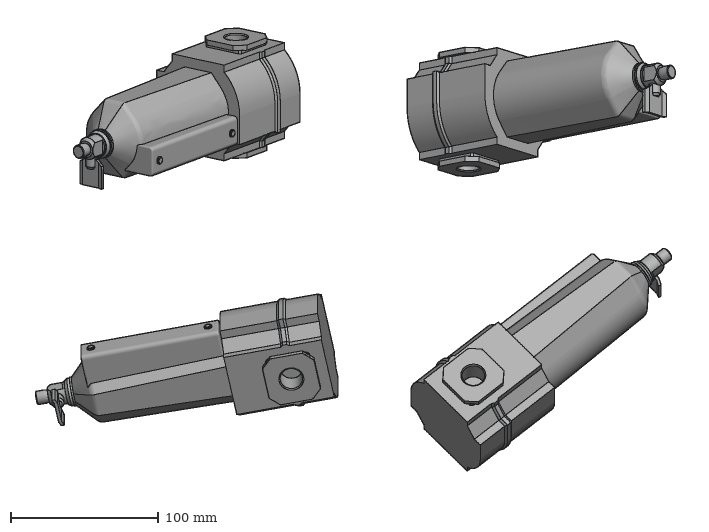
import cadquery as cq
import math


tolerance = 0.002

head_length = 67.6
head_half_height = 34.0
flank_half_width = 22.2
flank_z = 28.9
shoulder_half_width = 35.5
shoulder_x = 29.5
shoulder_z = 20.0

port_y = 42.4
band_height = 1.2
band_width = 6.0
band_crest_width = 3.0

port_top_z = 40.0
flange_thickness = 3.6
flange_width = 35.7
flange_corner = 6.7
neck_width = 30.3
neck_corner = 1.51
port_hole_diameter = 15.3
port_mouth_chamfer = 0.8
port_depth = 16.2

bowl_half_height = 26.7
bowl_root_radius = 26.0
bowl_end_radius = 24.0
bowl_root_flat = 11.3
bowl_end_flat = 8.0
cone_start = 94.3
cone_end = 108.0
cone_tip_radius = 10.0
bowl_edge_radius = 5.0
bowl_length = 109.5

gauge_start = 1.0
gauge_end = 96.7
gauge_inner_x = 8.0
gauge_outer_x = 35.0
gauge_top_z = 0.2
gauge_height = 20.5
gauge_side_radius = 2.8
gauge_end_radius = 1.2
screw_inset = 7.3
screw_radius = 2.6
screw_height = 1.5
screw_chamfer = 0.6

overall_length = 202.0
drain_tip = overall_length - head_length
seat_root_radius = 8.9
seat_radius = 9.7
seat_crest = 111.2
seat_end_radius = 8.3
seat_end = 113.5
stem_radius = 7.7
stem_end = 125.8
stem_chamfer_length = 2.5
stem_chamfer_height = 2.0
stem_flat_start = 114.9
stem_flat_half_width = 5.9
nozzle_radius = 4.6
nozzle_waist_radius = 4.2
nozzle_waist_end = 128.2
nozzle_chamfer = 0.6

handle_position = 119.3
plug_radius = 4.0
plug_bottom_z = -15.0
plug_chamfer_length = 1.8
plug_chamfer_width = 1.2
wing_half_width = 10.0
wing_fold_x = 6.9
wing_thickness = 2.2
wing_offset = 1.2
wing_bottom_z = -27.7
wing_tip_z = -11.7
wing_root_z = -7.7


def section_plane(distance):
    """XZ plane at the given distance in front of the head, normal toward -Y."""
    return cq.Workplane("XZ", origin=(0, -distance, 0))


def head_outline(plane):
    """Head section: a shoulder and a tangent arc on each side, alike after a half turn."""
    chord_x = shoulder_half_width - flank_half_width
    arc_radius = (chord_x**2 + flank_z**2) / (2 * chord_x)
    mid_angle = math.asin(flank_z / arc_radius) / 2
    arc_mid_x = shoulder_half_width - arc_radius * (1 - math.cos(mid_angle))
    arc_mid_z = arc_radius * math.sin(mid_angle)
    return (
        plane.moveTo(-flank_half_width, head_half_height)
        .lineTo(-flank_half_width, flank_z)
        .lineTo(-shoulder_x, shoulder_z)
        .lineTo(-shoulder_half_width, shoulder_z)
        .lineTo(-shoulder_half_width, 0)
        .threePointArc((-arc_mid_x, -arc_mid_z), (-flank_half_width, -flank_z))
        .lineTo(-flank_half_width, -head_half_height)
        .lineTo(flank_half_width, -head_half_height)
        .lineTo(flank_half_width, -flank_z)
        .lineTo(shoulder_x, -shoulder_z)
        .lineTo(shoulder_half_width, -shoulder_z)
        .lineTo(shoulder_half_width, 0)
        .threePointArc((arc_mid_x, arc_mid_z), (flank_half_width, flank_z))
        .lineTo(flank_half_width, head_half_height)
        .close()
    )


def make_band():
    """Raised band with sloping sides that follows the head outline between the flats."""
    slope_length = (band_width - band_crest_width) / 2
    band_front = -port_y - band_width / 2
    band = (
        head_outline(section_plane(band_front))
        .offset2D(band_height, "intersection")
        .extrude(band_width)
    )
    band = band.faces("<Y or >Y").chamfer(slope_length, band_height)
    height_limit = cq.Workplane("XY", origin=(0, port_y, 0)).box(
        4 * shoulder_half_width, 2 * band_width, 2 * head_half_height
    )
    return band.intersect(height_limit)


def cut_corner_square(width, corner, bottom_z, top_z):
    """Square block with its vertical corners cut off, centred on the port axis."""
    return (
        cq.Workplane("XY", origin=(0, port_y, bottom_z))
        .rect(width, width)
        .extrude(top_z - bottom_z)
        .edges("|Z")
        .chamfer(corner)
    )


def make_top_port():
    """Neck and flange standing on the top of the head."""
    flange_bottom = port_top_z - flange_thickness
    neck = cut_corner_square(neck_width, neck_corner, head_half_height, flange_bottom)
    flange = cut_corner_square(flange_width, flange_corner, flange_bottom, port_top_z)
    return neck.union(flange)


def make_top_port_hole():
    """Blind port bore with a chamfered mouth."""
    hole_radius = port_hole_diameter / 2
    bore = cq.Workplane("XY", origin=(0, port_y, port_top_z)).circle(hole_radius).extrude(-port_depth)
    mouth = cq.Solid.makeCone(
        hole_radius + port_mouth_chamfer,
        hole_radius,
        port_mouth_chamfer,
        cq.Vector(0, port_y, port_top_z),
        cq.Vector(0, 0, -1),
    )
    return bore.union(cq.Workplane(mouth))


def make_head():
    head = head_outline(section_plane(-head_length)).extrude(head_length)
    head = head.union(make_band())
    port = make_top_port()
    hole = make_top_port_hole()
    head = head.union(port).union(port.mirror("XY"))
    return head.cut(hole).cut(hole.mirror("XY"))


def on_circle(point, radius):
    """Point on a circle about the axis, in the direction of the given point."""
    scale = radius / math.hypot(*point)
    return point[0] * scale, point[1] * scale


def eight_sided_wire(distance, corners, side_radius, all_round=False):
    """Closed wire through the flat and join corners, mirrored into all four quadrants.

    The left and right sides are always arcs. The other six sides are straight,
    or arcs of the same radius about the axis when all_round is set.
    """
    (flat_x, flat_z), (join_x, join_z) = corners
    points = [
        (-flat_x, flat_z),
        (flat_x, flat_z),
        (join_x, join_z),
        (join_x, -join_z),
        (flat_x, -flat_z),
        (-flat_x, -flat_z),
        (-join_x, -join_z),
        (-join_x, join_z),
    ]
    wire = section_plane(distance).moveTo(*points[0])
    for start, end in zip(points, points[1:] + points[:1]):
        is_outer_side = start[0] == end[0]
        if all_round or is_outer_side:
            middle = ((start[0] + end[0]) / 2, (start[1] + end[1]) / 2)
            wire = wire.threePointArc(on_circle(middle, side_radius), end)
        else:
            wire = wire.lineTo(*end)
    return wire.close().val()


def bowl_corners(flat_half_width, radius):
    """Corner of the flat, and the point where a line from it touches the side arc."""
    corner_distance = math.hypot(flat_half_width, bowl_half_height)
    corner_angle = math.atan2(bowl_half_height, flat_half_width)
    join_angle = corner_angle - math.acos(radius / corner_distance)
    join = (radius * math.cos(join_angle), radius * math.sin(join_angle))
    return (flat_half_width, bowl_half_height), join


def make_bowl_shell():
    """Tapered barrel, cone and end disc."""
    end_corners = bowl_corners(bowl_end_flat, bowl_end_radius)
    tip_corners = [on_circle(corner, cone_tip_radius) for corner in end_corners]
    root = eight_sided_wire(0, bowl_corners(bowl_root_flat, bowl_root_radius), bowl_root_radius)
    end = eight_sided_wire(cone_start, end_corners, bowl_end_radius)
    tip = eight_sided_wire(cone_end, tip_corners, cone_tip_radius, all_round=True)
    barrel = cq.Workplane(cq.Solid.makeLoft([root, end], True))
    cone = cq.Workplane(cq.Solid.makeLoft([end, tip], True))
    shell = barrel.union(cone)
    cone_edge = [edge for edge in shell.edges().vals() if abs(edge.Center().y + cone_start) < tolerance]
    shell = shell.newObject(cone_edge).fillet(bowl_edge_radius)
    disc = section_plane(cone_end).circle(cone_tip_radius).extrude(bowl_length - cone_end)
    return shell.union(disc)


def make_gauge():
    """Level gauge block with rounded outer edges and two screw heads."""
    mid_z = gauge_top_z - gauge_height / 2
    gauge = (
        section_plane(gauge_start)
        .center((gauge_inner_x + gauge_outer_x) / 2, mid_z)
        .rect(gauge_outer_x - gauge_inner_x, gauge_height)
        .extrude(gauge_end - gauge_start)
    )
    gauge = gauge.edges("|Y and >X").fillet(gauge_side_radius)
    gauge = gauge.faces("<Y or >Y").edges("not <X").fillet(gauge_end_radius)
    for distance in (gauge_start + screw_inset, gauge_end - screw_inset):
        screw = (
            cq.Workplane("YZ", origin=(gauge_outer_x, -distance, mid_z))
            .circle(screw_radius)
            .extrude(screw_height)
            .faces(">X")
            .chamfer(screw_chamfer)
        )
        gauge = gauge.union(screw)
    return gauge


def make_bowl():
    return make_bowl_shell().union(make_gauge())


def make_drain_spindle():
    """Turned seat, stem and nozzle; the stem has two flats facing -X and +X."""
    seat_rise = seat_radius - seat_root_radius
    seat_run = seat_crest - bowl_length
    seat_rounding = (seat_rise**2 + seat_run**2) / (2 * seat_rise)
    spindle = (
        cq.Workplane("XY")
        .moveTo(0, -bowl_length)
        .lineTo(seat_root_radius, -bowl_length)
        .radiusArc((seat_radius, -seat_crest), seat_rounding)
        .lineTo(seat_end_radius, -seat_end)
        .lineTo(stem_radius, -seat_end)
        .lineTo(stem_radius, -stem_end + stem_chamfer_length)
        .lineTo(stem_radius - stem_chamfer_height, -stem_end)
        .lineTo(nozzle_waist_radius, -stem_end)
        .lineTo(nozzle_radius, -nozzle_waist_end)
        .lineTo(nozzle_radius, -drain_tip + nozzle_chamfer)
        .lineTo(nozzle_radius - nozzle_chamfer, -drain_tip)
        .lineTo(0, -drain_tip)
        .close()
        .revolve(360, (0, 0, 0), (0, 1, 0))
    )
    flat_depth = stem_radius - stem_flat_half_width
    flats = (
        section_plane(stem_flat_start)
        .pushPoints([(side * (stem_radius - flat_depth / 2), 0) for side in (-1, 1)])
        .rect(flat_depth, 2 * stem_radius)
        .extrude(stem_end - stem_flat_start)
    )
    return spindle.cut(flats)


def make_handle():
    """Folded wing on a short plug that drops from the stem."""
    plug = (
        cq.Workplane("XY", origin=(0, -handle_position, 0))
        .circle(plug_radius)
        .extrude(plug_bottom_z)
        .faces("<Z")
        .chamfer(plug_chamfer_length, plug_chamfer_width)
    )
    half_thickness = wing_thickness / 2
    wing = (
        cq.Workplane("XY", origin=(0, -handle_position, wing_bottom_z))
        .moveTo(-wing_half_width, wing_offset + half_thickness)
        .lineTo(-wing_fold_x, half_thickness)
        .lineTo(wing_fold_x, half_thickness)
        .lineTo(wing_half_width, -wing_offset + half_thickness)
        .lineTo(wing_half_width, -wing_offset - half_thickness)
        .lineTo(wing_fold_x, -half_thickness)
        .lineTo(-wing_fold_x, -half_thickness)
        .lineTo(-wing_half_width, wing_offset - half_thickness)
        .close()
        .extrude(wing_root_z - wing_bottom_z)
    )
    wing_face = (
        section_plane(handle_position - 2 * wing_thickness)
        .moveTo(-wing_half_width, wing_bottom_z)
        .lineTo(-wing_half_width, wing_tip_z)
        .lineTo(-plug_radius, wing_root_z)
        .lineTo(plug_radius, wing_root_z)
        .lineTo(wing_half_width, wing_tip_z)
        .lineTo(wing_half_width, wing_bottom_z)
        .close()
        .extrude(4 * wing_thickness)
    )
    return plug.union(wing.intersect(wing_face))


def make_drain():
    return make_drain_spindle().union(make_handle())


head = make_head()
bowl = make_bowl()
drain = make_drain()

result = cq.Compound.makeCompound([body.solids().val() for body in (head, bowl, drain)])